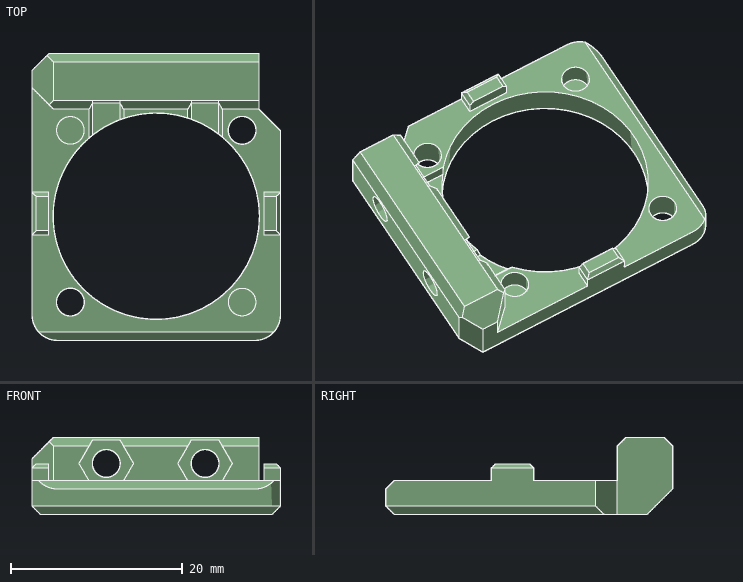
import cadquery as cq

width = 29.0
length = 33.5
height = 9.0
half_width = width / 2
front_y = -half_width
back_y = front_y + length

plate_thickness = 4.0
edge_chamfer = 1.0
front_corner_radius = 3.0
bore_diameter = 24.05
screw_offset = 10.0
screw_diameter = 3.2
blind_floor = 1.0

block_front_y = 12.5
block_right_x = 12.0
end_chamfer = 2.5
back_corner_chamfer = 2.0
back_bottom_chamfer = 3.0

nut_centres_x = (-5.83, 5.7)
nut_z = 5.95
nut_across_corners = 6.35
nut_floor_y = 15.0

tab_width = 1.95
tab_length = 5.0
tab_centre_y = 0.3
tab_top = 5.93
tab_chamfer = 0.5


def make_plate():
    """Flat base with rounded front corners and a clipped back right corner."""
    clip = half_width - block_right_x
    plate = (
        cq.Workplane("XY")
        .moveTo(-half_width, front_y)
        .lineTo(half_width, front_y)
        .lineTo(half_width, block_front_y - clip)
        .lineTo(block_right_x, block_front_y)
        .lineTo(block_right_x, back_y)
        .lineTo(-half_width + back_corner_chamfer, back_y)
        .lineTo(-half_width, back_y - back_corner_chamfer)
        .close()
        .extrude(plate_thickness)
    )
    plate = plate.edges("|Z").edges("<Y").fillet(front_corner_radius)
    plate = plate.faces("<Z").edges("<X or >X or <Y or %CIRCLE").chamfer(edge_chamfer)
    front_wedge = (
        cq.Workplane("YZ")
        .moveTo(front_y, plate_thickness)
        .lineTo(front_y + edge_chamfer, plate_thickness)
        .lineTo(front_y, plate_thickness - edge_chamfer)
        .close()
        .extrude(half_width, both=True)
    )
    return plate.cut(front_wedge)


def make_block():
    """Back block, standing on the plate, with sloped edges and left end."""
    block_base = plate_thickness / 2
    left_x = -half_width
    block = (
        cq.Workplane("XY")
        .workplane(offset=block_base)
        .moveTo(left_x + end_chamfer, block_front_y)
        .lineTo(block_right_x, block_front_y)
        .lineTo(block_right_x, back_y)
        .lineTo(left_x + back_corner_chamfer, back_y)
        .lineTo(left_x, back_y - back_corner_chamfer)
        .lineTo(left_x, block_front_y + end_chamfer)
        .close()
        .extrude(height - block_base)
    )
    end_profile = (
        cq.Workplane("XZ")
        .moveTo(left_x, 0)
        .lineTo(block_right_x, 0)
        .lineTo(block_right_x, height)
        .lineTo(left_x + end_chamfer, height)
        .lineTo(left_x, height - end_chamfer)
        .close()
        .extrude(-back_y)
    )
    side_profile = (
        cq.Workplane("YZ")
        .moveTo(block_front_y, 0)
        .lineTo(back_y, 0)
        .lineTo(back_y, height - edge_chamfer)
        .lineTo(back_y - edge_chamfer, height)
        .lineTo(block_front_y + edge_chamfer, height)
        .lineTo(block_front_y, height - edge_chamfer)
        .close()
        .extrude(half_width, both=True)
    )
    return block.intersect(end_profile).intersect(side_profile)


def make_left_tab():
    """Tab on the left edge, chamfered on every top edge but the inner one."""
    tab = (
        cq.Workplane("XY")
        .box(tab_width, tab_length, tab_top - edge_chamfer, centered=(False, True, False))
        .translate((-half_width, tab_centre_y, edge_chamfer))
    )
    return tab.faces(">Z").edges("<X or <Y or >Y").chamfer(tab_chamfer)


left_tab = make_left_tab()
body = make_plate().union(make_block()).union(left_tab).union(left_tab.mirror("YZ"))

back_wedge = (
    cq.Workplane("YZ")
    .moveTo(back_y, 0)
    .lineTo(back_y - back_bottom_chamfer, 0)
    .lineTo(back_y, back_bottom_chamfer)
    .close()
    .extrude(half_width, both=True)
)
body = body.cut(back_wedge)

body = body.cut(cq.Workplane("XY").circle(bore_diameter / 2).extrude(plate_thickness))

for x_side in (-1, 1):
    for y_side in (-1, 1):
        hole_bottom = 0 if x_side == y_side else blind_floor
        screw_hole = (
            cq.Workplane("XY")
            .workplane(offset=hole_bottom)
            .center(x_side * screw_offset, y_side * screw_offset)
            .circle(screw_diameter / 2)
            .extrude(plate_thickness - hole_bottom)
        )
        body = body.cut(screw_hole)

for nut_x in nut_centres_x:
    nut_plane = cq.Workplane("XZ").center(nut_x, nut_z)
    nut_pocket = nut_plane.polygon(6, nut_across_corners).extrude(-nut_floor_y)
    screw_hole = nut_plane.circle(screw_diameter / 2).extrude(-back_y)
    body = body.cut(nut_pocket).cut(screw_hole)

result = body